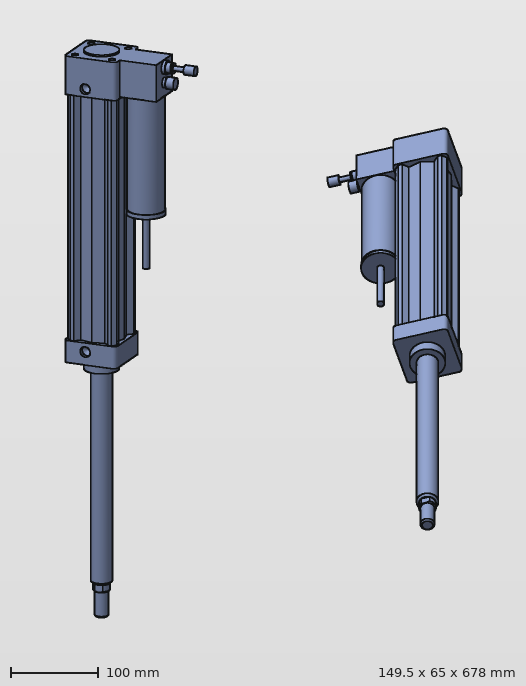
import cadquery as cq
import math


TOP = 678.0
HEAD_TOP = 676.0
GEARBOX_BOTTOM = 632.0
HEAD_BOTTOM = 630.0
CAP_TOP = 335.5
CAP_BOTTOM = 309.0
COLLAR_BOTTOM = 296.0

BLOCK_SIDE = 65.0
BLOCK_RADIUS = 5.0
DISC_DIAMETER = 41.0
SCREW_HOLE_OFFSET = 23.0
SCREW_HOLE_DIAMETER = 7.5
SCREW_HOLE_DEPTH = 10.0

PORT_DIAMETER = 12.0
PORT_DEPTH = 5.5
PORT_X = -6.0
HEAD_PORT_Z = 639.5
CAP_PORT_Z = 325.0
DRILL_POINT_ANGLE = 118.0

TUBE_SIDE = 61.0
TUBE_CHAMFER = 5.0
GROOVE_HALF_WIDTH = 21.0
GROOVE_VALLEY = 15.0
RIDGE_SLOPE = 15.0

MOTOR_DIAMETER = 43.5
MOTOR_CAP_DIAMETER = 45.0
MOTOR_CAP_HEIGHT = 5.5
MOTOR_X = 55.5
MOTOR_BOTTOM = 489.0
GEARBOX_WIDTH = MOTOR_CAP_DIAMETER
GEARBOX_END = MOTOR_X + MOTOR_CAP_DIAMETER / 2
CABLE_DIAMETER = 8.0
CABLE_BOTTOM = 424.0

PLUG_Z = 667.0
PLUG_STEPS = [(82.0, 16.0), (88.0, 13.0), (90.0, 12.0), (104.5, 6.0), (117.0, 11.5)]
SOCKET_Z = 649.0
SOCKET_STEPS = [(82.0, 12.0), (92.0, 14.0)]

ROD_DIAMETER = 25.0
ROD_END = 40.0
ROD_CHAMFER = 2.85
NECK_DIAMETER = 20.0
NECK_ACROSS_FLATS = 17.0
NECK_BOTTOM = 30.5
STUD_DIAMETER = 16.0
STUD_CHAMFER = 2.0
NECK_CHAMFER = (NECK_DIAMETER - STUD_DIAMETER) / 2


def cylinder(diameter, bottom, top, x=0):
    """Upright cylinder between two heights."""
    return cq.Workplane("XY", origin=(x, 0, bottom)).circle(diameter / 2).extrude(top - bottom)


def rounded_block(bottom, top):
    """Square block with rounded upright edges."""
    block = cq.Workplane("XY", origin=(0, 0, bottom)).rect(BLOCK_SIDE, BLOCK_SIDE).extrude(top - bottom)
    return block.edges("|Z").fillet(BLOCK_RADIUS)


def grooved_tube():
    """Square tube with cut corners and a wide ridged groove along each side."""
    half = TUBE_SIDE / 2
    depth = GROOVE_HALF_WIDTH - GROOVE_VALLEY
    ridge_height = GROOVE_VALLEY * math.tan(math.radians(RIDGE_SLOPE))
    side_outline = [
        (-half + TUBE_CHAMFER, -half),
        (-GROOVE_HALF_WIDTH, -half),
        (-GROOVE_VALLEY, -half + depth),
        (0, -half + depth - ridge_height),
        (GROOVE_VALLEY, -half + depth),
        (GROOVE_HALF_WIDTH, -half),
        (half - TUBE_CHAMFER, -half),
    ]
    points = []
    for quarter in range(4):
        turn = math.radians(90 * quarter)
        for x, y in side_outline:
            points.append((x * math.cos(turn) - y * math.sin(turn), x * math.sin(turn) + y * math.cos(turn)))
    outline = cq.Workplane("XY", origin=(0, 0, CAP_TOP)).polyline(points).close()
    return outline.extrude(HEAD_BOTTOM - CAP_TOP)


def gearbox():
    """Box from the head out to the motor's far side."""
    height = HEAD_TOP - GEARBOX_BOTTOM
    box = cq.Workplane("XY").box(GEARBOX_END, GEARBOX_WIDTH, height, centered=(False, True, False))
    return box.translate((0, 0, GEARBOX_BOTTOM))


def connector(steps, z):
    """Stepped round connector on the gearbox end, pointing along +X."""
    body = cq.Workplane("YZ")
    start = GEARBOX_END
    for end, diameter in steps:
        step = cq.Workplane("YZ", origin=(start, 0, z)).circle(diameter / 2).extrude(end - start)
        body = body.union(step)
        start = end
    return body


def port(z):
    """Blind drilled hole with a conical floor, entering from the -Y face."""
    radius = PORT_DIAMETER / 2
    point_depth = radius / math.tan(math.radians(DRILL_POINT_ANGLE / 2))
    profile = [(0, 0), (radius, 0), (radius, PORT_DEPTH), (0, PORT_DEPTH + point_depth)]
    drill = cq.Workplane("XY").polyline(profile).close().revolve(360, (0, 0, 0), (0, 1, 0))
    return drill.translate((PORT_X, -BLOCK_SIDE / 2, z))


def screw_holes():
    """Blind holes at the four corners of the head's top face."""
    pitch = 2 * SCREW_HOLE_OFFSET
    holes = cq.Workplane("XY", origin=(0, 0, HEAD_TOP)).rarray(pitch, pitch, 2, 2)
    return holes.circle(SCREW_HOLE_DIAMETER / 2).extrude(-SCREW_HOLE_DEPTH)


def make_housing():
    """Head, gearbox, connectors, tube and cap, bored for the rod."""
    housing = rounded_block(HEAD_BOTTOM, HEAD_TOP)
    housing = housing.union(cylinder(DISC_DIAMETER, HEAD_TOP, TOP))
    housing = housing.union(gearbox())
    housing = housing.union(connector(PLUG_STEPS, PLUG_Z))
    housing = housing.union(connector(SOCKET_STEPS, SOCKET_Z))
    housing = housing.union(grooved_tube())
    housing = housing.union(rounded_block(CAP_BOTTOM, CAP_TOP))
    housing = housing.union(cylinder(DISC_DIAMETER, COLLAR_BOTTOM, CAP_BOTTOM))
    housing = housing.cut(cylinder(ROD_DIAMETER, COLLAR_BOTTOM, CAP_TOP))
    housing = housing.cut(screw_holes())
    housing = housing.cut(port(HEAD_PORT_Z))
    return housing.cut(port(CAP_PORT_Z))


def make_motor():
    """Motor can hanging below the gearbox, with a slightly wider end cap and a cable."""
    can = cylinder(MOTOR_DIAMETER, MOTOR_BOTTOM, GEARBOX_BOTTOM, MOTOR_X)
    end_cap = cylinder(MOTOR_CAP_DIAMETER, MOTOR_BOTTOM, MOTOR_BOTTOM + MOTOR_CAP_HEIGHT, MOTOR_X)
    return can.union(end_cap).union(cylinder(CABLE_DIAMETER, CABLE_BOTTOM, MOTOR_BOTTOM, MOTOR_X))


def make_rod():
    """Piston rod with a neck flattened on +Y and -Y and a plain stud at the tip."""
    rod = cylinder(ROD_DIAMETER, ROD_END, CAP_TOP).faces("<Z").chamfer(ROD_CHAMFER)
    neck = cylinder(NECK_DIAMETER, NECK_BOTTOM, ROD_END).faces("<Z").chamfer(NECK_CHAMFER)
    flats = cq.Workplane("XY").box(NECK_DIAMETER, NECK_ACROSS_FLATS, ROD_END, centered=(True, True, False))
    stud = cylinder(STUD_DIAMETER, 0, NECK_BOTTOM).faces("<Z").chamfer(STUD_CHAMFER)
    return rod.union(neck.intersect(flats)).union(stud)


housing = make_housing()
motor = make_motor()
rod = make_rod()

result = cq.Compound.makeCompound([housing.val(), motor.val(), rod.val()])